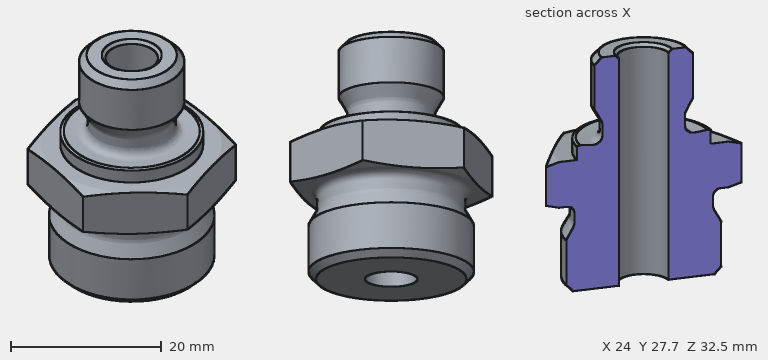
import cadquery as cq
import math

total_height = 32.5
hex_bottom = 12.0
hex_top = 18.5
collar_top = 20.5

across_flats = 24.0
hex_chamfer_angle = 15.0

end_chamfer = 1.0
lower_thread_radius = 22.0 / 2
lower_thread_top = 7.35
lower_groove_radius = 19.7 / 2
upper_thread_radius = 14.0 / 2
upper_thread_bottom = 25.2
upper_groove_radius = 11.7 / 2
run_out_angle = 30.0
groove_fillet = 1.0

collar_radius = 19.0 / 2
rim_radius = 9.05
rim_drop = 0.13
dish_angle = 5.0
dish_fillet = 1.2

bore_diameter = 7.0
mouth_diameter = 7.95


def tan_deg(angle):
    return math.tan(math.radians(angle))


def revolve_about_z(profile):
    return profile.close().revolve(360, (0, 0, 0), (0, 1, 0))


def run_out_height(thread_radius, groove_radius):
    return (thread_radius - groove_radius) / tan_deg(run_out_angle)


def fillet_circle_at(body, radius, height, size):
    """Round the circular edge of the given radius at the given height."""
    margin = 0.003
    box = cq.selectors.BoxSelector(
        (-radius - margin, -radius - margin, height - margin),
        (radius + margin, radius + margin, height + margin),
        boundingbox=True,
    )
    return body.edges(box).fillet(size)


def make_hexagon():
    across_corners = across_flats / math.cos(math.radians(30))
    prism = (
        cq.Workplane("XY", origin=(0, 0, hex_bottom))
        .polygon(6, across_corners)
        .extrude(hex_top - hex_bottom)
        .rotate((0, 0, 0), (0, 0, 1), 30)
    )
    flat_radius = across_flats / 2
    outer_radius = across_corners / 2 + 0.32
    drop = (outer_radius - flat_radius) * tan_deg(hex_chamfer_angle)
    chamfer_envelope = revolve_about_z(
        cq.Workplane("XZ")
        .moveTo(0, hex_bottom)
        .lineTo(flat_radius, hex_bottom)
        .lineTo(outer_radius, hex_bottom + drop)
        .lineTo(outer_radius, hex_top - drop)
        .lineTo(flat_radius, hex_top)
        .lineTo(0, hex_top)
    )
    return prism.intersect(chamfer_envelope)


def make_turned_body():
    lower_run_out_top = lower_thread_top + run_out_height(lower_thread_radius, lower_groove_radius)
    upper_run_out_bottom = upper_thread_bottom - run_out_height(upper_thread_radius, upper_groove_radius)
    dish_bottom = collar_top - (rim_radius - upper_groove_radius) * tan_deg(dish_angle)

    body = revolve_about_z(
        cq.Workplane("XZ")
        .moveTo(0, 0)
        .lineTo(lower_thread_radius - end_chamfer, 0)
        .lineTo(lower_thread_radius, end_chamfer)
        .lineTo(lower_thread_radius, lower_thread_top)
        .lineTo(lower_groove_radius, lower_run_out_top)
        .lineTo(lower_groove_radius, hex_top)
        .lineTo(collar_radius, hex_top)
        .lineTo(collar_radius, collar_top - rim_drop)
        .lineTo(rim_radius, collar_top)
        .lineTo(upper_groove_radius, dish_bottom)
        .lineTo(upper_groove_radius, upper_run_out_bottom)
        .lineTo(upper_thread_radius, upper_thread_bottom)
        .lineTo(upper_thread_radius, total_height - end_chamfer)
        .lineTo(upper_thread_radius - end_chamfer, total_height)
        .lineTo(0, total_height)
    )
    body = body.union(make_hexagon())
    body = fillet_circle_at(body, lower_groove_radius, lower_run_out_top, groove_fillet)
    body = fillet_circle_at(body, lower_groove_radius, hex_bottom, groove_fillet)
    body = fillet_circle_at(body, upper_groove_radius, dish_bottom, dish_fillet)
    return fillet_circle_at(body, upper_groove_radius, upper_run_out_bottom, groove_fillet)


def make_bore():
    bore_radius = bore_diameter / 2
    mouth_radius = mouth_diameter / 2
    mouth_depth = mouth_radius - bore_radius
    return revolve_about_z(
        cq.Workplane("XZ")
        .moveTo(0, 0)
        .lineTo(bore_radius, 0)
        .lineTo(bore_radius, total_height - mouth_depth)
        .lineTo(mouth_radius, total_height)
        .lineTo(0, total_height)
    )


result = make_turned_body().cut(make_bore())